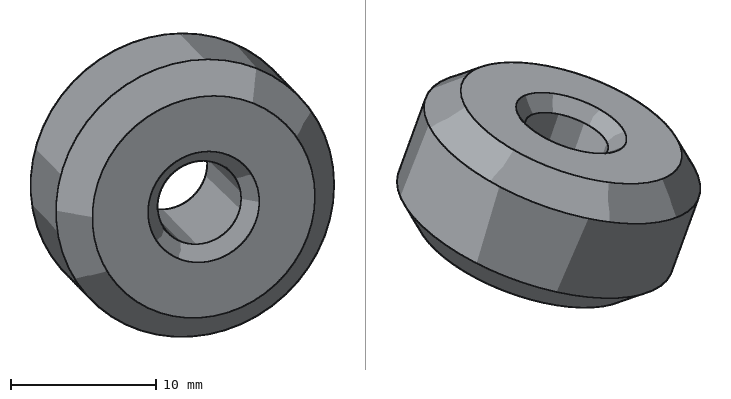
import cadquery as cq

outer_diameter = 20.0
width = 10.0
rim_chamfer = 2.0
bore_diameter = 6.0
bore_chamfer = 1.0


def coned_cylinder(diameter, end_chamfer):
    """Cylinder along X whose ends taper at 45 degrees; a negative chamfer flares them."""
    radius = diameter / 2
    end_radius = radius - end_chamfer
    half_width = width / 2
    straight_half = half_width - abs(end_chamfer)
    return (
        cq.Workplane("XY")
        .moveTo(-half_width, 0)
        .lineTo(-half_width, end_radius)
        .lineTo(-straight_half, radius)
        .lineTo(straight_half, radius)
        .lineTo(half_width, end_radius)
        .lineTo(half_width, 0)
        .close()
        .revolve(360, (0, 0, 0), (1, 0, 0))
    )


body = coned_cylinder(outer_diameter, rim_chamfer)
bore = coned_cylinder(bore_diameter, -bore_chamfer)

result = body.cut(bore)